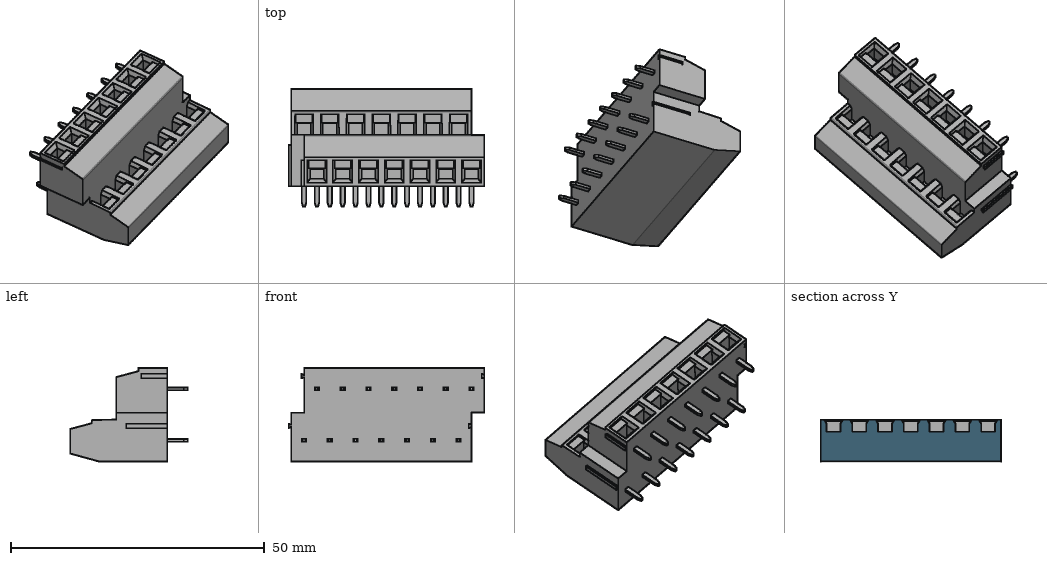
import cadquery as cq
import math


total_length = 38.6
poles = 7
rail_reach = 0.5
pitch = (total_length - rail_reach) / (poles + 0.5)
row_length = poles * pitch
row_shift = pitch / 2
lower_left = rail_reach
upper_left = lower_left + row_shift

lower_depth = 19.2
upper_depth = 10.1
lower_height = 9.7
total_height = 18.5
back_slope = math.tan(math.radians(15))

step_height = 0.6
lower_rim_z = 8.35
lower_rim_drop = 0.1
lower_step_top_z = lower_rim_z - lower_rim_drop
lower_step_bottom_z = lower_step_top_z - step_height
lower_step_y = 14.95
lower_back_bottom_z = 1.6
lower_back_bevel_y = 13.45
lower_back_top_z = lower_step_bottom_z - back_slope * (lower_depth - lower_step_y)

upper_step_y = 5.7
upper_step_bottom_z = total_height - step_height
upper_back_top_z = upper_step_bottom_z - back_slope * (upper_depth - upper_step_y)

edge_round = 0.25
lower_back_round = 0.1

shaft_width = 2.7
funnel_slope = math.tan(math.radians(30))
shaft_depth = 4.65
clamp_length = 1.65
clamp_draft = 0.1
upper_clamp_drop = 0.55
upper_opening_width = 3.82
upper_opening_front = 0.75
upper_opening_back = 5.17
upper_front_taper = 0.75
lower_opening_width = 3.65
lower_opening_back = 14.15
lower_clamp_drop = 0.4

pin_length = 4.0
pin_width = 0.93
pin_thickness = 0.6
pin_tip_length = 0.77
pin_tip_width = 0.42
lower_pin_z = 4.2
upper_pin_z = lower_pin_z + 2 * pitch

rail_outer_height = 0.93
rail_neck_height = 0.45
lower_rail_z = 7.05
lower_rail_length = 8.15
upper_rail_z = 16.85
upper_rail_length = 5.17


def extrude_along_row(profile, left):
    return cq.Workplane("YZ", origin=(left, 0, 0)).polyline(profile).close().extrude(row_length)


def round_edge(body, y, z, radius):
    """Round the X-direction edge of the body that passes nearest to (y, z)."""
    x_middle = body.val().Center().x
    nearest = cq.selectors.NearestToPointSelector((x_middle, y, z))
    return body.edges("|X").edges(nearest).fillet(radius)


def pole_positions(left):
    return [left + pitch * (pole + 0.5) for pole in range(poles)]


def lower_row():
    profile = [
        (0, 0),
        (lower_back_bevel_y, 0),
        (lower_depth, lower_back_bottom_z),
        (lower_depth, lower_back_top_z),
        (lower_step_y, lower_step_bottom_z),
        (lower_step_y, lower_step_top_z),
        (upper_depth, lower_rim_z),
        (upper_depth, lower_height),
        (0, lower_height),
    ]
    body = extrude_along_row(profile, lower_left)
    body = round_edge(body, lower_step_y, lower_step_top_z, edge_round)
    return round_edge(body, lower_depth, lower_back_top_z, lower_back_round)


def upper_row():
    profile = [
        (0, lower_height),
        (upper_depth, lower_height),
        (upper_depth, upper_back_top_z),
        (upper_step_y, upper_step_bottom_z),
        (upper_step_y, total_height),
        (0, total_height),
    ]
    return round_edge(extrude_along_row(profile, upper_left), upper_depth, upper_back_top_z, edge_round)


def wire_opening(x, rim_z, width, front, back, front_taper, drop):
    """Cavity of one pole: funnel and shaft, less the clamp block at the back."""
    funnel_depth = (width - shaft_width) / 2 / funnel_slope
    half_width = width / 2
    half_shaft = shaft_width / 2
    shaft_front = front + front_taper
    funnel = (
        cq.Workplane("XY", origin=(0, 0, rim_z))
        .polyline([(x - half_width, front), (x + half_width, front),
                   (x + half_width, back), (x - half_width, back)])
        .close()
        .workplane(offset=-funnel_depth)
        .polyline([(x - half_shaft, shaft_front), (x + half_shaft, shaft_front),
                   (x + half_shaft, back), (x - half_shaft, back)])
        .close()
        .loft(ruled=True)
    )
    shaft = (
        cq.Workplane("XY", origin=(x, (shaft_front + back) / 2, rim_z - shaft_depth))
        .rect(shaft_width, back - shaft_front)
        .extrude(shaft_depth - funnel_depth)
    )
    clamp_front = back - clamp_length
    clamp_profile = [
        (back, rim_z - drop),
        (clamp_front, rim_z - drop),
        (clamp_front - clamp_draft, rim_z - shaft_depth),
        (back, rim_z - shaft_depth),
    ]
    clamp = (
        cq.Workplane("YZ", origin=(x - half_width, 0, 0)).polyline(clamp_profile).close().extrude(width)
    )
    return funnel.union(shaft).cut(clamp)


def pin(x, z):
    half_width = pin_width / 2
    half_tip = pin_tip_width / 2
    taper_start = pin_tip_length - pin_length
    outline = [
        (x - half_width, 0),
        (x - half_width, taper_start),
        (x - half_tip, -pin_length),
        (x + half_tip, -pin_length),
        (x + half_width, taper_start),
        (x + half_width, 0),
    ]
    underside = cq.Workplane("XY", origin=(0, 0, z - pin_thickness / 2))
    return underside.polyline(outline).close().extrude(pin_thickness)


def dovetail(x, z, length):
    """Dovetail bar along Y whose narrow neck lies at x + rail_reach."""
    half_outer = rail_outer_height / 2
    half_neck = rail_neck_height / 2
    neck_x = x + rail_reach
    profile = [
        (x, z - half_outer),
        (neck_x, z - half_neck),
        (neck_x, z + half_neck),
        (x, z + half_outer),
    ]
    return cq.Workplane("XZ").polyline(profile).close().extrude(-length)


result = lower_row().union(upper_row())

for x in pole_positions(lower_left):
    opening = wire_opening(
        x, lower_rim_z, lower_opening_width, upper_depth, lower_opening_back, 0, lower_clamp_drop
    )
    result = result.cut(opening).union(pin(x, lower_pin_z))

for x in pole_positions(upper_left):
    opening = wire_opening(
        x, total_height, upper_opening_width, upper_opening_front, upper_opening_back,
        upper_front_taper, upper_clamp_drop,
    )
    result = result.cut(opening).union(pin(x, upper_pin_z))

for left, z, length in (
    (lower_left, lower_rail_z, lower_rail_length),
    (upper_left, upper_rail_z, upper_rail_length),
):
    rail = dovetail(left - rail_reach, z, length)
    result = result.union(rail).cut(rail.translate((row_length, 0, 0)))